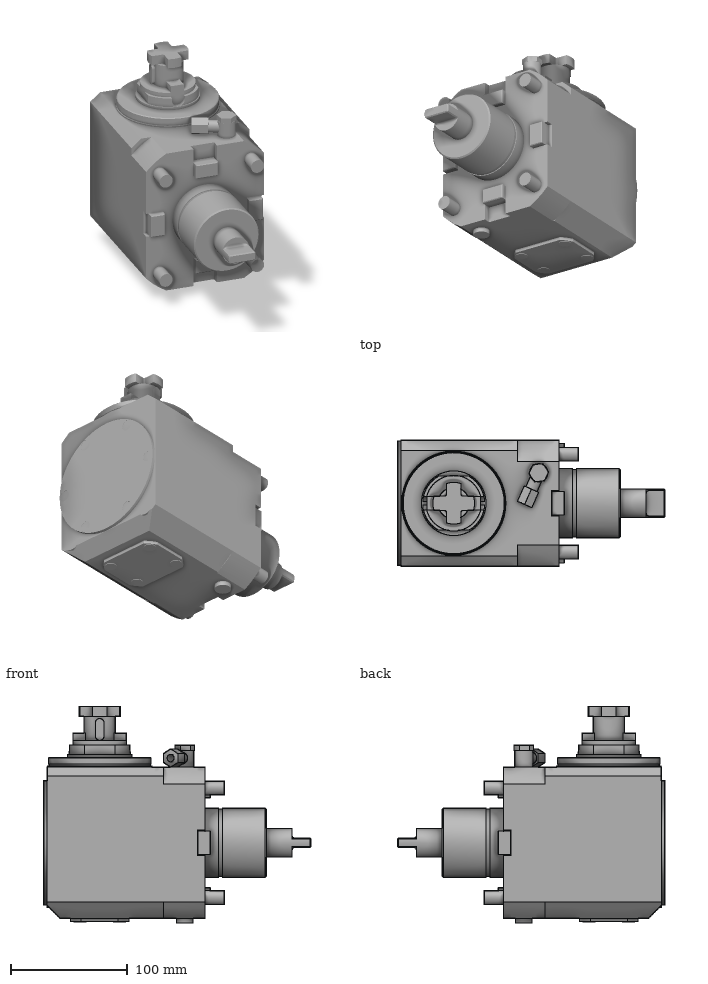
import cadquery as cq


body_left, body_right = -45.1, 90.2
body_half_width, body_half_height = 54.0, 64.8
front_section_end = 54.5
rear_radius = 74.0
top_chamfer_height, top_chamfer_width = 7.5, 9.0
bottom_chamfer_height, bottom_chamfer_width = 14.2, 17.2
end_chamfer = 11.2

cover_left = -48
cover_radius = 53.4
cover_screw_circle_radius = 47.9
cover_screw_radius = 5.0
cover_screw_count = 6
cover_screw_recess = 0.2

screw_y, screw_z = 42.0, 47.0
screw_radius = 6.0
screw_end = 106.7
screw_head_radius = 8.5
screw_head_length = 11.5

key_slot_left, key_right = 83.5, 95.0
key_inner, key_outer = 38.5, 51.3
key_slot_width = 21.5
key_gap = 0.7
key_chamfer = 0.7

shank_radius, shank_end = 29.8, 142.7
shank_chamfer = 1.1
groove_left, groove_right = 101.7, 105.1
groove_depth = 0.7
spindle_radius, spindle_end = 12.4, 165
tang_end = 181
tang_thickness = 8.2
tang_chamfer = 1.0
tang_root_fillet = 1.8

rim_radius, rim_top = 44.7, 66.0
neck_radius, neck_top = 43.5, 67.3
flange_radius, flange_top = 44.0, 73.3
flange_chamfer = 0.7
ring_radius, ring_top = 27.7, 75.8
collar_radius, collar_top = 26.5, 83.8
collar_flat_distance = 23.1
step_radius, step_top = 23.8, 87.7
stem_radius, stem_top = 13.5, 108.3

dog_width, dog_reach = 12.0, 23
dog_top = 94
dog_round_center = 81.5
feather_width, feather_reach = 7.3, 15.8
feather_top = 106.5
cross_radius, cross_top = 17.9, 116.8
cross_arm_width = 12.4
cross_fillet = 1.5

fitting_x, fitting_y = 72.8, 26.0
bolt_radius, bolt_head_radius = 7.8, 8.5
bolt_head_bottom, bolt_head_top = 79.0, 83.5
outlet_angle = -114
outlet_height = 72.5
outlet_radius = 5.3
nut_start, nut_end = 15.3, 29.8
nut_radius = 7.8
nut_bore_radius = 3.2
plug_radius, plug_bottom = 7.0, -68.7

plate_length, plate_width = 50.5, 60.5
plate_corner_radius = 34.1
plate_bottom = -67.5
foot_x, foot_y = 17.0, 22.5
foot_radius, foot_height = 5.3, 0.5


def rod_x(radius, start, end, y=0, z=0):
    """Cylinder along X between two X positions."""
    return cq.Workplane("YZ", origin=(start, y, z)).circle(radius).extrude(end - start)


def rod_z(radius, bottom, top, x=0, y=0):
    """Cylinder along Z between two heights."""
    return cq.Workplane("XY", origin=(x, y, bottom)).circle(radius).extrude(top - bottom)


def block(x_range, y_range, z_range):
    """Box given by its limits along each axis."""
    corners = list(zip(x_range, y_range, z_range))
    size = [high - low for low, high in zip(*corners)]
    return cq.Workplane("XY", origin=corners[0]).box(*size, centered=False)


def front_section():
    """Housing with flat chamfers along its long edges and across its lower left edge."""
    half_profile = [
        (0, body_half_height),
        (body_half_width - top_chamfer_width, body_half_height),
        (body_half_width, body_half_height - top_chamfer_height),
        (body_half_width, bottom_chamfer_height - body_half_height),
        (body_half_width - bottom_chamfer_width, -body_half_height),
        (0, -body_half_height),
    ]
    section = cq.Workplane("YZ", origin=(body_left, 0, 0)).polyline(half_profile).mirrorY()
    section = section.extrude(front_section_end - body_left)
    return section.faces("<X").edges("<Z").chamfer(end_chamfer)


def rear_section():
    """Rear part of the housing, its long edges turned to a cylinder about X."""
    section = block(
        (front_section_end, body_right),
        (-body_half_width, body_half_width),
        (-body_half_height, body_half_height),
    )
    return section.intersect(rod_x(rear_radius, front_section_end, body_right))


def end_cover():
    """Round cover with a ring of screw heads set just below its face."""
    cover = rod_x(cover_radius, cover_left, body_left)
    recesses = (
        cq.Workplane("YZ", origin=(cover_left, 0, 0))
        .polarArray(cover_screw_circle_radius, 0, 360, cover_screw_count)
        .circle(cover_screw_radius)
        .extrude(cover_screw_recess)
    )
    return cover.cut(recesses)


def mounting_screws():
    """Four screws: heads flush with the left end, shanks standing out of the right end."""
    screws = cq.Workplane("XY")
    for y in (-screw_y, screw_y):
        for z in (-screw_z, screw_z):
            head = rod_x(screw_head_radius, body_left, body_left + screw_head_length, y, z)
            shank = rod_x(screw_radius, body_right, screw_end, y, z)
            screws = screws.add(head).add(shank)
    return screws.combine()


def four_around_x(solid):
    """The solid repeated every quarter turn about X."""
    copies = cq.Workplane("XY")
    for quarter in range(4):
        copies = copies.add(solid.rotate((0, 0, 0), (1, 0, 0), 90 * quarter))
    return copies.combine()


def key_slots():
    """Four slots in the right end of the housing, open outward."""
    half = key_slot_width / 2
    return four_around_x(
        block((key_slot_left, body_right), (-half, half), (key_inner, body_half_height))
    )


def drive_keys():
    """Four keys seated in the slots with a small gap around them."""
    half = key_slot_width / 2 - key_gap
    key = block((key_slot_left + key_gap, key_right), (-half, half), (key_inner, key_outer))
    return four_around_x(key.faces(">X").chamfer(key_chamfer))


def shank():
    """Grooved shank, spindle and flat drive tang along X."""
    body = rod_x(shank_radius, body_right, shank_end).faces(">X").chamfer(shank_chamfer)
    groove = rod_x(shank_radius, groove_left, groove_right).cut(
        rod_x(shank_radius - groove_depth, groove_left, groove_right)
    )
    spindle = rod_x(spindle_radius, shank_end, spindle_end)
    half_thickness = tang_thickness / 2
    tang = rod_x(spindle_radius, spindle_end, tang_end).intersect(
        block(
            (spindle_end, tang_end),
            (-spindle_radius, spindle_radius),
            (-half_thickness, half_thickness),
        )
    )
    tang = tang.edges("|X or >X").chamfer(tang_chamfer)
    root = cq.selectors.BoxSelector(
        (spindle_end - tang_chamfer, -spindle_radius, -half_thickness - tang_chamfer),
        (spindle_end + tang_chamfer, spindle_radius, half_thickness + tang_chamfer),
    )
    spindle = spindle.union(tang).edges("|Y").edges(root).fillet(tang_root_fillet)
    return body.cut(groove).union(spindle)


def dog_profile(x):
    """Dog outline on a plane at X = x: a round-bottomed upright slot."""
    half = dog_width / 2
    return (
        cq.Workplane("YZ", origin=(x, 0, 0))
        .moveTo(-half, dog_top)
        .lineTo(-half, dog_round_center)
        .threePointArc((0, dog_round_center - half), (half, dog_round_center))
        .lineTo(half, dog_top)
        .close()
    )


def collars():
    """Flange and stepped collars, with two flats and a bar of dogs across them."""
    flange = rod_z(flange_radius, neck_top, flange_top).faces(">Z").chamfer(flange_chamfer)
    collar = rod_z(collar_radius, ring_top, collar_top).intersect(
        block(
            (-collar_radius, collar_radius),
            (-collar_flat_distance, collar_flat_distance),
            (ring_top, collar_top),
        )
    )
    stepped = collar.union(rod_z(step_radius, collar_top, step_top))
    stepped = stepped.cut(dog_profile(-collar_radius).extrude(2 * collar_radius))
    return (
        rod_z(rim_radius, body_half_height, rim_top)
        .union(rod_z(neck_radius, rim_top, neck_top))
        .union(flange)
        .union(rod_z(ring_radius, flange_top, ring_top))
        .union(stepped)
        .union(dog_profile(-dog_reach).extrude(2 * dog_reach))
    )


def coupling_stem():
    """Round stem with a feather key on its -Y side and a cross-shaped head."""
    stem = rod_z(stem_radius, step_top, stem_top)
    feather_length = feather_top - step_top
    feather = (
        cq.Workplane("XZ", origin=(0, 0, step_top + feather_length / 2))
        .slot2D(feather_length, feather_width, 90)
        .extrude(feather_reach)
    )
    cross = (
        cq.Workplane("XY", origin=(0, 0, stem_top))
        .rect(2 * cross_radius, cross_arm_width)
        .extrude(cross_top - stem_top)
    )
    cross = cross.union(cross.rotate((0, 0, 0), (0, 0, 1), 90))
    inner_corners = cq.selectors.BoxSelector(
        (-cross_arm_width, -cross_arm_width, stem_top),
        (cross_arm_width, cross_arm_width, cross_top),
    )
    cross = cross.edges("|Z").edges(inner_corners).fillet(cross_fillet)
    cross = cross.intersect(rod_z(cross_radius, stem_top, cross_top))
    return stem.union(feather).union(cross)


def coolant_fitting():
    """Hex bolt standing on the housing with a level outlet that ends in a bored hex nut."""
    bolt = rod_z(bolt_radius, body_half_height, bolt_head_bottom)
    head = (
        cq.Workplane("XY", origin=(0, 0, bolt_head_bottom))
        .polygon(6, 2 * bolt_head_radius)
        .extrude(bolt_head_top - bolt_head_bottom)
    )
    outlet = rod_x(outlet_radius, 0, nut_start, z=outlet_height)
    nut = (
        cq.Workplane("YZ", origin=(nut_start, 0, outlet_height))
        .transformed(rotate=(0, 0, 90))
        .polygon(6, 2 * nut_radius)
        .extrude(nut_end - nut_start)
    )
    bore = rod_x(nut_bore_radius, nut_start, nut_end, z=outlet_height)
    fitting = bolt.union(head).union(outlet).union(nut).cut(bore)
    fitting = fitting.rotate((0, 0, 0), (0, 0, 1), outlet_angle)
    return fitting.translate((fitting_x, fitting_y, 0))


def underside():
    """Plate with corners cut to a circle, four low screw heads on it, and a round plug."""
    plate_range = (plate_bottom, -body_half_height)
    plate = block(
        (-plate_length / 2, plate_length / 2),
        (-plate_width / 2, plate_width / 2),
        plate_range,
    ).intersect(rod_z(plate_corner_radius, *plate_range))
    for x in (-foot_x, foot_x):
        for y in (-foot_y, foot_y):
            plate = plate.union(rod_z(foot_radius, plate_bottom - foot_height, plate_bottom, x, y))
    return plate.union(rod_z(plug_radius, plug_bottom, -body_half_height, fitting_x, -fitting_y))


result = (
    front_section()
    .union(rear_section())
    .cut(key_slots())
    .union(drive_keys())
    .union(end_cover())
    .union(mounting_screws())
    .union(shank())
    .union(collars())
    .union(coupling_stem())
    .union(coolant_fitting())
    .union(underside())
)